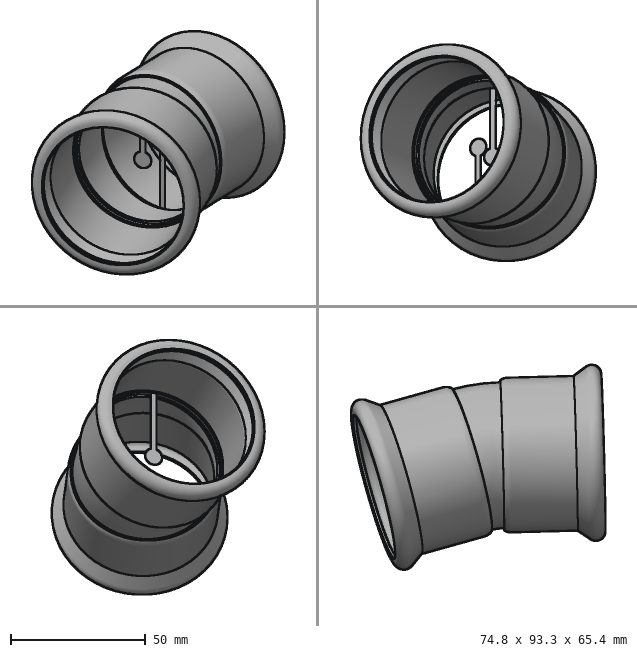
import cadquery as cq
import math

BEND_ANGLE = 15.0
BEND_RADIUS = 45.2
SOCKET_LENGTH = 37.6
WALL = 1.54

SOCKET_OUTER = 57.5 / 2
SOCKET_BORE = 54.4 / 2
MOUTH_BORE = 55.0 / 2
MOUTH_CHAMFER = 0.3
LEAD_IN_LENGTH = 0.9
COLLAR_BORE = 53.0 / 2
STOP_DEPTH = 34.9
COLLAR_FLOOR_DEPTH = 37.1

CROWN_LENGTH = 2.56
CROWN_DROP = 0.9
CROWN_RADIUS = (CROWN_LENGTH**2 + CROWN_DROP**2) / (2 * CROWN_DROP)

BEAD_OUTER = 32.7
BEAD_ROUND = 3.5
BEAD_CENTRE = BEAD_OUTER - BEAD_ROUND
CONE_ANGLE = math.radians(35.0)

TUBE_OUTER = 27.1
TUBE_BORE = TUBE_OUTER - WALL

DISC_DIAMETER = 6.7
STEM_WIDTH = 2.2
FLAG_THICKNESS = 0.1

BEND_START = (0, SOCKET_LENGTH, 0)
BEND_PIVOT = (BEND_RADIUS, SOCKET_LENGTH, 0)


def bead_point(radius, angle):
    """Point (radius, depth) on a circle about the centre of the bead section."""
    return (BEAD_CENTRE + radius * math.cos(angle), BEAD_ROUND + radius * math.sin(angle))


def cone_end(start, radius):
    """Point where the bead cone, running inward from start, reaches the given radius."""
    return (radius, start[1] + (start[0] - radius) / math.tan(CONE_ANGLE))


def socket_envelope():
    """Solid outer shape of the socket, mouth at Y = 0."""
    crown_start = SOCKET_LENGTH - CROWN_LENGTH
    half_sweep = math.asin(CROWN_LENGTH / CROWN_RADIUS) / 2
    crown_middle = (
        SOCKET_OUTER - CROWN_RADIUS * (1 - math.cos(half_sweep)),
        crown_start + CROWN_RADIUS * math.sin(half_sweep),
    )
    cone_start = bead_point(BEAD_ROUND, CONE_ANGLE)
    profile = (
        cq.Workplane("XY")
        .lineTo(BEAD_CENTRE, 0)
        .threePointArc(bead_point(BEAD_ROUND, 0), cone_start)
        .lineTo(*cone_end(cone_start, SOCKET_OUTER))
        .lineTo(SOCKET_OUTER, crown_start)
        .threePointArc(crown_middle, (SOCKET_OUTER - CROWN_DROP, SOCKET_LENGTH))
        .lineTo(0, SOCKET_LENGTH)
        .close()
    )
    return profile.revolve(360, (0, 0, 0), (0, 1, 0))


def socket_cavity():
    """Inner shape of the socket: chamfered mouth, bead groove, lead-in, bore, pipe stop and collar."""
    groove_round = BEAD_ROUND - WALL
    cone_start = bead_point(groove_round, CONE_ANGLE)
    lead_in = cone_end(cone_start, MOUTH_BORE)
    profile = (
        cq.Workplane("XY")
        .lineTo(MOUTH_BORE + MOUTH_CHAMFER, 0)
        .lineTo(MOUTH_BORE, MOUTH_CHAMFER)
        .lineTo(MOUTH_BORE, WALL)
        .lineTo(BEAD_CENTRE, WALL)
        .threePointArc(bead_point(groove_round, 0), cone_start)
        .lineTo(*lead_in)
        .lineTo(SOCKET_BORE, lead_in[1] + LEAD_IN_LENGTH)
        .lineTo(SOCKET_BORE, STOP_DEPTH)
        .lineTo(COLLAR_BORE, STOP_DEPTH)
        .lineTo(COLLAR_BORE, COLLAR_FLOOR_DEPTH)
        .lineTo(0, COLLAR_FLOOR_DEPTH)
        .close()
    )
    return profile.revolve(360, (0, 0, 0), (0, 1, 0))


def socket_passage():
    """Opening through the closed end of the socket into the bend."""
    return cq.Workplane("XZ", origin=BEND_START).circle(TUBE_BORE).extrude(SOCKET_LENGTH - COLLAR_FLOOR_DEPTH)


def bend_tube():
    ring = cq.Workplane("XZ", origin=BEND_START).circle(TUBE_OUTER).circle(TUBE_BORE)
    return ring.revolve(BEND_ANGLE, (BEND_RADIUS, 0, 0), (BEND_RADIUS, -1, 0))


def at_far_end(near):
    """Carry a near-end shape to the far end: mirror it about the bend start, then swing it."""
    flipped = near.mirror("XZ", BEND_START)
    pivot_top = (BEND_PIVOT[0], BEND_PIVOT[1], 1)
    return flipped.rotate(BEND_PIVOT, pivot_top, -BEND_ANGLE)


def make_fitting():
    socket = socket_envelope().cut(socket_cavity()).cut(socket_passage())
    return socket.union(bend_tube()).union(at_far_end(socket))


def make_flag(direction):
    """Flag across the near collar, flush with the pipe stop; its stem points up (1) or down (-1)."""
    plane = cq.Workplane("XZ", origin=(0, STOP_DEPTH + FLAG_THICKNESS, 0))
    disc = plane.circle(DISC_DIAMETER / 2).extrude(FLAG_THICKNESS)
    stem = (
        plane.center(0, direction * COLLAR_BORE / 2)
        .rect(STEM_WIDTH, COLLAR_BORE)
        .extrude(FLAG_THICKNESS)
    )
    return disc.union(stem).intersect(socket_cavity())


fitting = make_fitting()
near_flag = make_flag(1)
far_flag = at_far_end(make_flag(-1))

result = cq.Compound.makeCompound([fitting.val(), near_flag.val(), far_flag.val()])